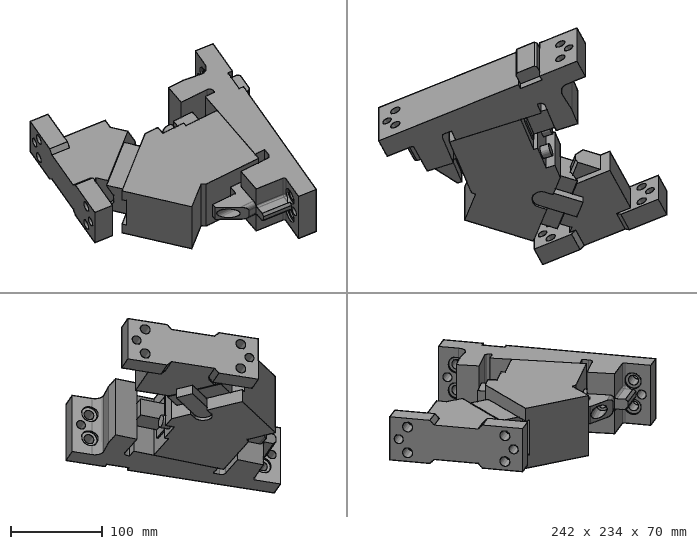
import cadquery as cq
import math

WIDTH = 70.0
NARROW = 40.2
PAD_WIDTH = 50.3
BAR_WIDTH = 19.8
PLATE_THICK = 22.0
EPS = 2.5
PICK = 0.2

TILT = math.radians(5)
TILTED = cq.Plane(origin=(0, 0, 0), xDir=(math.cos(TILT), math.sin(TILT), 0), normal=(0, 0, 1))
SLOPE = math.radians(45)
GUIDE = cq.Plane(origin=(0, 0, 0), xDir=(math.cos(SLOPE), -math.sin(SLOPE), 0), normal=(0, 0, 1))

BOLT_DIA = 11.1
DOWEL_DIA = 10.2
BOLT_EDGE = 20.0
DOWEL_EDGE = 10.2
BOLT_PITCH = 30.0
BORE_DIA = 18.2
BORE_DEPTH = 2.5

BASE_LENGTH = 150.0
WAIST_START, WAIST_END = 45.3, 104.8
WAIST_STEP = (PAD_WIDTH - NARROW) / 2
POST_LEFT = 33.5
POST_SHOULDER = 75.3
POST_NECK = 91.2

WAY_HEIGHT = 105.0
RIDGE_HEIGHT = 8.7
RIDGE_TOP = 10.6
WAY_START, WAY_END = -21.5, 53.2
RIDGE_RELIEF_Z = -10.0
TONGUE_GAP = 0.5
TONGUE_START, TONGUE_END = -4.8, 60.3

SEAT = 175.2
SLIDER_RIGHT = 188.5
SLIDER_LEFT = 105.5
SCREW_FACE = 101.0
SLIDER_FOOT_LEFT = 90.8
SCREW_FACE_TOP, SCREW_FACE_BOTTOM = 134.5, 107.5
SLIDER_BACK_BOTTOM = 106.5
SLIDER_SOLE = 127.8
SLIDER_HEEL = 207.6
SLIDER_TOE = 75.5
HEEL_START = 40.7
TOE_RECESS = 5.0

SCREW_DIA = 14.0
SCREW_HEIGHT = 120.8
SCREW_PITCH = 45.7

BAR_TOP, BAR_BOTTOM = 163.0, 138.5
FLANGE_THICK = 1.7
HOOK_NECK = 199.0
HOOK_TIP = 108.5
HOOK_TIP_WIDTH = 4.8
HOOK_NOSE = 224.0
HOOK_NOSE_BOTTOM = 139.5
HOOK_NOSE_RADIUS = 5.0
HOOK_BOLT_X = 211.8
HOOK_BORE_DIA = 14.0
HOOK_BORE_FLOOR = 143.7
HOOK_BOLT_DIA = 7.7
HOOK_BOLT_END = 158.3

RETAINER_MID = 22.3
RETAINER_WIDTH = 20.0
RETAINER_START = 93.0
RETAINER_TOP_Z, RETAINER_BOTTOM_Z = -20.8, -31.5
RETAINER_STRAIGHT = 10.0

MOUNT_LEFT, MOUNT_RIGHT = 2.5, 242.0
MOUNT_TOP = 225.3
MOUNT_UNDER = MOUNT_TOP - PLATE_THICK
ARM_BOTTOM = 148.5
LEFT_ARM_OUTER, LEFT_ARM_INNER = 35.8, 74.3
LEFT_ARM_KNEE = (34.0, 171.5)
LEFT_ARM_RADIUS = 10.0
RIGHT_ARM_INNER, RIGHT_ARM_OUTER = 193.8, 210.5
SEAT_LEFT, SEAT_RIGHT = 81.8, 181.5
RELIEF_TOP = 187.3
RELIEF_RADIUS = 4.8

RIB_END = 225.3
RIB_WIDTH = 12.0
RIB_CHAMFER = 3.0
RIB_RADIUS = 2.5

KEY_LEFT, KEY_RIGHT = 47.5, 73.0
KEY_BOTTOM, KEY_TOP = 219.7, 234.0
KEY_CHAMFER = 2.5


def tilted(x, y):
    """Point of the tilted frame as an XY point of the part."""
    return TILTED.toWorldCoords((x, y)).toTuple()[:2]


def guide(x, y):
    """Point of the guide frame as an XY point of the part."""
    return GUIDE.toWorldCoords((x, y)).toTuple()[:2]


def prism(points, width, plane="XY"):
    """Closed outline extruded symmetrically in Z."""
    return cq.Workplane(plane).polyline(points).close().extrude(width / 2, both=True)


def block(x0, x1, y0, y1, z0, z1, plane="XY"):
    """Box between two corners of a frame."""
    return (
        cq.Workplane(plane)
        .center((x0 + x1) / 2, (y0 + y1) / 2)
        .rect(x1 - x0, y1 - y0)
        .extrude(z1 - z0)
        .translate((0, 0, z0))
    )


def slab(x0, x1, y0, y1, width, plane="XY"):
    """Box centred on Z = 0."""
    return block(x0, x1, y0, y1, -width / 2, width / 2, plane)


def cylinder_y(x, z, dia, y0, y1):
    """Cylinder along Y."""
    axis = cq.Vector(0, 1, 0)
    return cq.Workplane(cq.Solid.makeCylinder(dia / 2, y1 - y0, cq.Vector(x, y0, z), axis))


def bolt_places(left, right):
    """X, Z centres of the four bolts of a plate."""
    half_pitch = BOLT_PITCH / 2
    return [(x, z) for x in (left + BOLT_EDGE, right - BOLT_EDGE) for z in (-half_pitch, half_pitch)]


def drill_plate(body, left, right, y0, y1):
    """Bolt and dowel holes through a plate, the same at both ends."""
    for x, z in bolt_places(left, right):
        body = body.cut(cylinder_y(x, z, BOLT_DIA, y0, y1))
    for x in (left + DOWEL_EDGE, right - DOWEL_EDGE):
        body = body.cut(cylinder_y(x, 0, DOWEL_DIA, y0, y1))
    return body


def ridge():
    """Trapezoidal slideway ridge, from the way flats up."""
    start = GUIDE.toWorldCoords((WAY_START, 0, 0))
    section = cq.Plane(origin=start, xDir=GUIDE.yDir, normal=GUIDE.xDir)
    top = WAY_HEIGHT + RIDGE_HEIGHT
    profile = [
        (WAY_HEIGHT, -NARROW / 2),
        (top, -RIDGE_TOP / 2),
        (top, RIDGE_TOP / 2),
        (WAY_HEIGHT, NARROW / 2),
    ]
    return cq.Workplane(section).polyline(profile).close()


def make_base():
    half = PAD_WIDTH / 2
    waist = NARROW / 2
    upper = [
        (0, half),
        (WAIST_START, half),
        (WAIST_START + WAIST_STEP, waist),
        (WAIST_END - WAIST_STEP, waist),
        (WAIST_END, half),
        (BASE_LENGTH, half),
    ]
    lower = [(x, -z) for x, z in reversed(upper)]
    plate = cq.Workplane("XZ").polyline(upper + lower).close().extrude(-PLATE_THICK)

    shoulder_x = POST_SHOULDER + WAY_START * math.sqrt(2)
    neck_x = POST_NECK * math.sqrt(2) - PLATE_THICK
    post = prism(
        [
            (POST_LEFT, 0),
            (POST_LEFT, POST_SHOULDER),
            (shoulder_x, POST_SHOULDER),
            guide(WAY_START, WAY_HEIGHT),
            guide(WAY_END, WAY_HEIGHT),
            guide(WAY_END, POST_NECK),
            (neck_x, PLATE_THICK),
            (WAIST_END - WAIST_STEP, 0),
        ],
        NARROW,
    )
    body = plate.union(post).union(ridge().extrude(WAY_END - WAY_START))
    relief_end = guide(WAY_START, WAY_HEIGHT + RIDGE_HEIGHT)[1] + EPS
    relief = block(0, BASE_LENGTH, POST_SHOULDER, relief_end, -WIDTH / 2, RIDGE_RELIEF_Z)
    body = body.cut(relief)
    return drill_plate(body, 0, BASE_LENGTH, -EPS, PLATE_THICK + EPS)


def slider_block():
    sole_angle = SLOPE - TILT
    foot_y = (SLIDER_SOLE - SLIDER_FOOT_LEFT * math.cos(sole_angle)) / math.sin(sole_angle)
    return prism(
        [
            tilted(SLIDER_LEFT, SEAT),
            tilted(SLIDER_LEFT, SCREW_FACE_TOP),
            tilted(SCREW_FACE, SCREW_FACE_TOP),
            tilted(SCREW_FACE, SCREW_FACE_BOTTOM),
            tilted(SLIDER_FOOT_LEFT, SCREW_FACE_BOTTOM),
            tilted(SLIDER_FOOT_LEFT, foot_y),
            guide(SLIDER_TOE, SLIDER_SOLE),
            guide(SLIDER_TOE, SLIDER_HEEL),
            guide(HEEL_START, SLIDER_HEEL),
            tilted(SLIDER_RIGHT, SLIDER_BACK_BOTTOM),
            tilted(SLIDER_RIGHT, SEAT),
        ],
        WIDTH,
    )


def tongue():
    """Guide tongue with the groove that rides on the base ridge."""
    bar = slab(TONGUE_START, TONGUE_END, WAY_HEIGHT + TONGUE_GAP, SLIDER_SOLE, NARROW, GUIDE)
    return bar.cut(ridge().extrude(TONGUE_END - WAY_START + EPS))


def toe_recess():
    """Tongue seat in the sole, open from the tongue to the toe."""
    seat_floor = SLIDER_SOLE + TOE_RECESS
    return slab(TONGUE_END, SLIDER_TOE + EPS, SLIDER_SOLE - EPS, seat_floor, NARROW, GUIDE)


def retainer_slot():
    """Round-ended slot in the slider that holds the retainer, open at the bottom."""
    radius = RETAINER_WIDTH / 2
    left, right = RETAINER_MID - radius, RETAINER_MID + radius
    straight_end = SLIDER_SOLE + RETAINER_STRAIGHT
    return (
        cq.Workplane(GUIDE)
        .moveTo(left, SLIDER_SOLE)
        .lineTo(left, straight_end)
        .threePointArc((RETAINER_MID, straight_end + radius), (right, straight_end))
        .lineTo(right, SLIDER_SOLE)
        .close()
        .extrude(RETAINER_BOTTOM_Z + WIDTH / 2)
        .translate((0, 0, -WIDTH / 2))
    )


def retainer():
    """Bar that reaches from the slider under the base post."""
    half = RETAINER_WIDTH / 2
    return block(
        RETAINER_MID - half,
        RETAINER_MID + half,
        RETAINER_START,
        SLIDER_SOLE,
        RETAINER_BOTTOM_Z,
        RETAINER_TOP_Z,
        GUIDE,
    )


def stop_bar():
    """Bar and flange on the left of the slider, ending at the left arm of the mount."""
    bar = slab(LEFT_ARM_INNER, SLIDER_LEFT, BAR_BOTTOM, BAR_TOP, BAR_WIDTH, TILTED)
    flange = slab(SLIDER_LEFT - FLANGE_THICK, SLIDER_LEFT, BAR_BOTTOM, BAR_TOP, NARROW, TILTED)
    return bar.union(flange)


def screw(z):
    """Screw head on the left of the slider."""
    x, y = tilted(SLIDER_FOOT_LEFT, SCREW_HEIGHT)
    length = SCREW_FACE - SLIDER_FOOT_LEFT
    return cq.Workplane(cq.Solid.makeCylinder(SCREW_DIA / 2, length, cq.Vector(x, y, z), TILTED.xDir))


def make_slider():
    body = slider_block().cut(retainer_slot()).cut(toe_recess())
    for feature in (tongue(), retainer(), stop_bar()):
        body = body.union(feature)
    for z in (-SCREW_PITCH / 2, SCREW_PITCH / 2):
        body = body.union(screw(z))
    return body


def arm_bottom_at(x):
    """Y of the tilted arm bottom at a given X."""
    return (ARM_BOTTOM + x * math.sin(TILT)) / math.cos(TILT)


def round_corner(body, corner, radius):
    """Fillet on the Z edge through an XY corner."""
    edge = body.edges("|Z").edges(cq.selectors.NearestToPointSelector((*corner, 0)))
    return edge.fillet(radius)


def mount_block():
    left_relief = tilted(LEFT_ARM_INNER, RELIEF_TOP)
    right_relief = tilted(RIGHT_ARM_INNER, RELIEF_TOP)
    left_root = (LEFT_ARM_OUTER, MOUNT_UNDER)
    right_root = (RIGHT_ARM_OUTER, MOUNT_UNDER)
    body = prism(
        [
            (MOUNT_LEFT, MOUNT_TOP),
            (MOUNT_RIGHT, MOUNT_TOP),
            (MOUNT_RIGHT, MOUNT_UNDER),
            right_root,
            (RIGHT_ARM_OUTER, arm_bottom_at(RIGHT_ARM_OUTER)),
            tilted(RIGHT_ARM_INNER, ARM_BOTTOM),
            right_relief,
            tilted(SEAT_RIGHT, RELIEF_TOP),
            tilted(SEAT_RIGHT, SEAT),
            tilted(SEAT_LEFT, SEAT),
            tilted(SEAT_LEFT, RELIEF_TOP),
            left_relief,
            tilted(LEFT_ARM_INNER, ARM_BOTTOM),
            (LEFT_ARM_OUTER, arm_bottom_at(LEFT_ARM_OUTER)),
            LEFT_ARM_KNEE,
            left_root,
            (MOUNT_LEFT, MOUNT_UNDER),
        ],
        WIDTH,
    )
    body = round_corner(body, left_root, LEFT_ARM_RADIUS)
    for corner in (left_relief, right_relief):
        body = round_corner(body, corner, RELIEF_RADIUS)
    return body


def rib():
    """Stiffening rib between the right arm and the plate."""
    body = prism(
        [
            (RIGHT_ARM_OUTER, MOUNT_UNDER),
            (RIB_END, MOUNT_UNDER),
            (RIB_END, arm_bottom_at(RIB_END)),
            (RIGHT_ARM_OUTER, arm_bottom_at(RIGHT_ARM_OUTER)),
        ],
        RIB_WIDTH,
    )
    return body.edges("|Y and >X").chamfer(RIB_CHAMFER)


def round_rib_root(body):
    """Fillets where the rib and the right arm meet each other and the plate."""
    reach = RIB_WIDTH / 2
    rib_edges = body.edges("|Y").edges(
        cq.selectors.BoxSelector(
            (RIGHT_ARM_OUTER - PICK, arm_bottom_at(RIGHT_ARM_OUTER), -reach - PICK),
            (RIGHT_ARM_OUTER + PICK, MOUNT_UNDER, reach + PICK),
        )
    )
    root_edges = body.edges(
        cq.selectors.BoxSelector(
            (RIGHT_ARM_OUTER - PICK, MOUNT_UNDER - PICK, -WIDTH),
            (RIB_END - RIB_CHAMFER, MOUNT_UNDER + PICK, WIDTH),
        )
    )
    return rib_edges.add(root_edges).fillet(RIB_RADIUS)


def hook():
    """Hook that sits on the right arm of the mount and stops the slider."""
    body = prism(
        [
            (SLIDER_RIGHT, BAR_TOP),
            (RIGHT_ARM_INNER, BAR_TOP),
            (RIGHT_ARM_INNER, ARM_BOTTOM),
            (HOOK_NOSE, ARM_BOTTOM),
            (HOOK_NOSE, HOOK_NOSE_BOTTOM),
            (HOOK_NECK + HOOK_TIP_WIDTH, HOOK_TIP),
            (HOOK_NECK, HOOK_TIP),
            (HOOK_NECK, BAR_BOTTOM),
            (SLIDER_RIGHT, BAR_BOTTOM),
        ],
        BAR_WIDTH,
    )
    body = body.edges("|Y and >X").fillet(HOOK_NOSE_RADIUS)
    return body.rotate((0, 0, 0), (0, 0, 1), math.degrees(TILT))


def hook_bolt_hole():
    """Counterbored bolt hole through the hook into the right arm."""
    bore = cylinder_y(HOOK_BOLT_X, 0, HOOK_BORE_DIA, HOOK_TIP, HOOK_BORE_FLOOR)
    hole = cylinder_y(HOOK_BOLT_X, 0, HOOK_BOLT_DIA, HOOK_TIP, HOOK_BOLT_END)
    return bore.union(hole).rotate((0, 0, 0), (0, 0, 1), math.degrees(TILT))


def locating_key():
    key = slab(KEY_LEFT, KEY_RIGHT, KEY_BOTTOM, KEY_TOP, PAD_WIDTH)
    return key.edges(">Y and |Z").chamfer(KEY_CHAMFER)


def make_mount():
    body = round_rib_root(mount_block().union(rib()))
    body = body.cut(slab(KEY_LEFT, KEY_RIGHT, KEY_BOTTOM, MOUNT_TOP + EPS, WIDTH))
    body = body.union(locating_key()).union(hook()).cut(hook_bolt_hole())
    for x, z in bolt_places(MOUNT_LEFT, MOUNT_RIGHT):
        root_radius = LEFT_ARM_RADIUS if x < LEFT_ARM_OUTER else RIB_RADIUS
        body = body.cut(cylinder_y(x, z, BORE_DIA, MOUNT_UNDER - root_radius, MOUNT_UNDER + BORE_DEPTH))
    return drill_plate(body, MOUNT_LEFT, MOUNT_RIGHT, MOUNT_UNDER - EPS, MOUNT_TOP + EPS)


base = make_base()
slider = make_slider()
mount = make_mount()
result = cq.Compound.makeCompound([body.solids().val() for body in (base, slider, mount)])